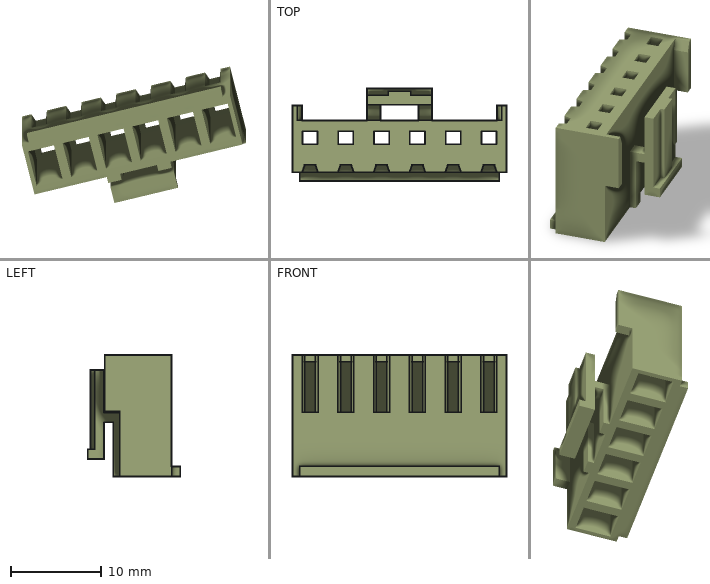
import cadquery as cq


contact_count = 6
pitch = 3.96
row_end_margin = 1.955

body_width = (contact_count - 1) * pitch + 2 * row_end_margin
body_depth = 5.77
body_height = 13.46
top_plate = 0.75
front_wall = 0.85

cavity_side_wall = 0.47
cavity_width = 2 * (row_end_margin - cavity_side_wall)
cavity_depth = body_depth - 2 * front_wall

window_width = 1.64
window_depth = 1.41
window_front = 3.13

slot_bottom = 7.12
slot_outer_width = 1.77
slot_inner_width = 1.16

rib_end_gap = 0.8
rib_depth = 0.96
rib_height = 1.12

wing_back = 7.41
wing_bottom = 7.18
wing_thickness = 1.07
wing_tip_thickness = 0.53
wing_bevel_height = 1.17

latch_width = 7.23
latch_window_width = 4.2
latch_root_back = 6.47
latch_bridge_bottom = 6.0
latch_bridge_top = 7.09
latch_plate_front = 7.49
latch_plate_back = 8.54
latch_plate_bottom = 1.93
latch_plate_top = 11.82
latch_hook_back = 9.30
latch_hook_top = 3.05
latch_tab_width = 2.53
latch_tab_back = 8.99


def block(x_range, y_range, z_range):
    """Box spanning the given (low, high) limits on each axis."""
    size = [high - low for low, high in (x_range, y_range, z_range)]
    corner = (x_range[0], y_range[0], z_range[0])
    return cq.Workplane("XY").box(*size, centered=False).translate(corner)


def centred(width, x=0):
    """Low and high limits of a width centred on x."""
    return (x - width / 2, x + width / 2)


def make_front_rib():
    return block(centred(body_width - 2 * rib_end_gap), (-rib_depth, 0), (0, rib_height))


def make_wing():
    """Left wing, with its inner face bevelled toward a thinner top."""
    outer_x = -body_width / 2
    profile = [
        (outer_x, wing_bottom),
        (outer_x + wing_thickness, wing_bottom),
        (outer_x + wing_thickness, body_height - wing_bevel_height),
        (outer_x + wing_tip_thickness, body_height),
        (outer_x, body_height),
    ]
    return (
        cq.Workplane("XZ", origin=(0, body_depth, 0))
        .polyline(profile)
        .close()
        .extrude(body_depth - wing_back)
    )


def make_latch_arm():
    """Left arm: a root on the back face and a bridge out to the latch plate."""
    x_range = (-latch_width / 2, -latch_window_width / 2)
    root = block(x_range, (body_depth, latch_root_back), (0, latch_bridge_top))
    bridge = block(
        x_range,
        (body_depth, latch_plate_front),
        (latch_bridge_bottom, latch_bridge_top),
    )
    return root.union(bridge)


def make_latch_plate():
    """Upright plate with a hook across its foot and a raised central tab."""
    plate = block(
        centred(latch_width),
        (latch_plate_front, latch_plate_back),
        (latch_plate_bottom, latch_plate_top),
    )
    hook = block(
        centred(latch_width),
        (latch_plate_front, latch_hook_back),
        (latch_plate_bottom, latch_hook_top),
    )
    tab = block(
        centred(latch_tab_width),
        (latch_plate_front, latch_tab_back),
        (latch_plate_bottom, latch_plate_top),
    )
    return plate.union(hook).union(tab)


def make_contact_cut(x):
    """Cavity, top window and front slot of the contact at x."""
    cavity = block(
        centred(cavity_width, x),
        (front_wall, front_wall + cavity_depth),
        (0, body_height - top_plate),
    )
    window = block(
        centred(window_width, x),
        (window_front, window_front + window_depth),
        (0, body_height),
    )
    slot_profile = [
        (x - slot_outer_width / 2, 0),
        (x + slot_outer_width / 2, 0),
        (x + slot_inner_width / 2, front_wall),
        (x - slot_inner_width / 2, front_wall),
    ]
    slot = (
        cq.Workplane("XY", origin=(0, 0, slot_bottom))
        .polyline(slot_profile)
        .close()
        .extrude(body_height - slot_bottom)
    )
    return cavity.union(window).union(slot)


result = block(centred(body_width), (0, body_depth), (0, body_height))
result = result.union(make_front_rib()).union(make_latch_plate())

for left_half in (make_wing(), make_latch_arm()):
    result = result.union(left_half).union(left_half.mirror("YZ"))

first_contact_x = -(contact_count - 1) * pitch / 2
for index in range(contact_count):
    result = result.cut(make_contact_cut(first_contact_x + index * pitch))